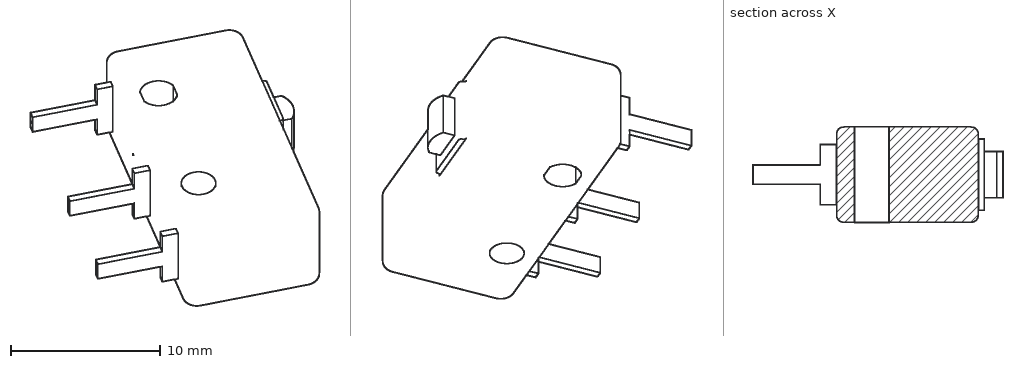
import cadquery as cq

LENGTH = 19.9
DEPTH = 9.51
HEIGHT = 6.4
CORNER_RADIUS = 1.0
EDGE_RADIUS = 0.5
FRONT_Y = -DEPTH / 2
BACK_Y = DEPTH / 2

HOLE_DIAMETER = 2.3
ROUND_HOLE_X = 4.7
FLAT_HOLE_X = -4.8
FLAT_HOLE_WIDTH = 2.5
HOLE_Y = FRONT_Y + 2.37

TERMINAL_XS = (-7.86, 1.0, 7.65)
TERMINAL_THICKNESS = 0.5
TERMINAL_LENGTH = 5.6
BLADE_HEIGHT = 1.31
SHOULDER_LENGTH = 1.1
SHOULDER_HEIGHT = 4.05

PLUNGER_X = -2.83
COLLAR_TOP_WIDTH = 3.78
COLLAR_RISE = 0.4
COLLAR_HEIGHT = 4.8
COLLAR_RADIUS = COLLAR_RISE / 2
PLUNGER_WIDTH = 2.43
PLUNGER_RISE = 1.65
PLUNGER_CROWN = 0.44
PLUNGER_HEIGHT = 3.1

MARKER_DIAMETER = 0.1
MARKER_DEPTH = 0.1


def make_housing():
    block = cq.Workplane("XY").box(LENGTH, DEPTH, HEIGHT)
    block = block.edges("|Z").fillet(CORNER_RADIUS)
    return block.faces("<Z or >Z").edges().fillet(EDGE_RADIUS)


def make_through_cylinder(x, diameter):
    return cq.Workplane("XY").center(x, HOLE_Y).circle(diameter / 2).extrude(HEIGHT, both=True)


def make_mounting_holes():
    round_hole = make_through_cylinder(ROUND_HOLE_X, HOLE_DIAMETER)
    flats = cq.Workplane("XY").box(FLAT_HOLE_WIDTH, HOLE_DIAMETER, 2 * HEIGHT)
    flats = flats.translate((FLAT_HOLE_X, HOLE_Y, 0))
    flat_hole = make_through_cylinder(FLAT_HOLE_X, FLAT_HOLE_WIDTH).intersect(flats)
    return round_hole.union(flat_hole)


def make_terminal(x):
    def bar(length, height):
        box = cq.Workplane("XY").box(TERMINAL_THICKNESS, length, height)
        return box.translate((x, FRONT_Y - length / 2, 0))

    return bar(SHOULDER_LENGTH, SHOULDER_HEIGHT).union(bar(TERMINAL_LENGTH, BLADE_HEIGHT))


def make_collar():
    top = COLLAR_TOP_WIDTH / 2
    side = top + COLLAR_RADIUS
    foot = side + COLLAR_RADIUS
    middle_y = BACK_Y + COLLAR_RADIUS
    top_y = BACK_Y + COLLAR_RISE
    profile = (
        cq.Workplane("XY")
        .center(PLUNGER_X, 0)
        .moveTo(-foot, BACK_Y)
        .radiusArc((-side, middle_y), -COLLAR_RADIUS)
        .radiusArc((-top, top_y), COLLAR_RADIUS)
        .lineTo(top, top_y)
        .radiusArc((side, middle_y), COLLAR_RADIUS)
        .radiusArc((foot, BACK_Y), -COLLAR_RADIUS)
        .close()
    )
    return profile.extrude(COLLAR_HEIGHT / 2, both=True)


def make_plunger():
    half_width = PLUNGER_WIDTH / 2
    tip_y = BACK_Y + PLUNGER_RISE
    side_y = tip_y - PLUNGER_CROWN
    profile = (
        cq.Workplane("XY")
        .center(PLUNGER_X, 0)
        .moveTo(-half_width, BACK_Y)
        .lineTo(-half_width, side_y)
        .threePointArc((0, tip_y), (half_width, side_y))
        .lineTo(half_width, BACK_Y)
        .close()
    )
    return profile.extrude(PLUNGER_HEIGHT / 2, both=True)


def make_marker(x, face_y):
    plane = cq.Workplane("XZ", origin=(x, face_y, 0))
    return plane.circle(MARKER_DIAMETER / 2).extrude(-MARKER_DEPTH)


result = make_housing().cut(make_mounting_holes())
result = result.union(make_collar()).union(make_plunger())
result = result.cut(make_marker(PLUNGER_X, FRONT_Y))
for terminal_x in TERMINAL_XS:
    result = result.union(make_terminal(terminal_x))
    result = result.cut(make_marker(terminal_x, FRONT_Y - TERMINAL_LENGTH))